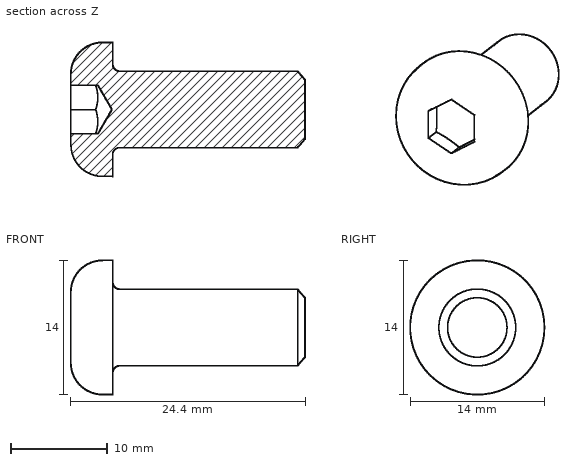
import cadquery as cq
import math

length = 24.4
head_diameter = 14.0
head_height = 4.4
dome_radius = 3.35
shank_diameter = 8.0
neck_fillet = 0.7
tip_chamfer_length = 0.78
tip_chamfer_depth = 0.9
socket_across_flats = 5.03
socket_depth = 2.6
socket_cone_angle = 120.0

head_radius = head_diameter / 2
shank_radius = shank_diameter / 2
crown_radius = head_radius - dome_radius
neck_end = head_height + neck_fillet
diagonal = math.sqrt(0.5)


def make_body():
    """Revolve the half profile of head, neck and shank about the X axis."""
    dome_mid = (dome_radius * (1 - diagonal), crown_radius + dome_radius * diagonal)
    neck_mid = (neck_end - neck_fillet * diagonal, shank_radius + neck_fillet * (1 - diagonal))
    profile = (
        cq.Workplane("XY")
        .lineTo(0, crown_radius)
        .threePointArc(dome_mid, (dome_radius, head_radius))
        .lineTo(head_height, head_radius)
        .lineTo(head_height, shank_radius + neck_fillet)
        .threePointArc(neck_mid, (neck_end, shank_radius))
        .lineTo(length - tip_chamfer_length, shank_radius)
        .lineTo(length, shank_radius - tip_chamfer_depth)
        .lineTo(length, 0)
        .close()
    )
    return profile.revolve(360, (0, 0, 0), (1, 0, 0))


def make_socket():
    """Hexagonal prism with corners on +Z and -Z, ending in a drill-point cone."""
    corner_radius = socket_across_flats / math.sqrt(3)
    cone_height = corner_radius / math.tan(math.radians(socket_cone_angle / 2))
    corners = []
    for index in range(6):
        angle = math.radians(90 + 60 * index)
        corners.append((corner_radius * math.cos(angle), corner_radius * math.sin(angle)))
    hexagon = cq.Workplane("YZ").polyline(corners).close().extrude(socket_depth + cone_height)
    drill_envelope = (
        cq.Workplane("XY")
        .lineTo(0, corner_radius)
        .lineTo(socket_depth, corner_radius)
        .lineTo(socket_depth + cone_height, 0)
        .close()
        .revolve(360, (0, 0, 0), (1, 0, 0))
    )
    return hexagon.intersect(drill_envelope)


result = make_body().cut(make_socket())